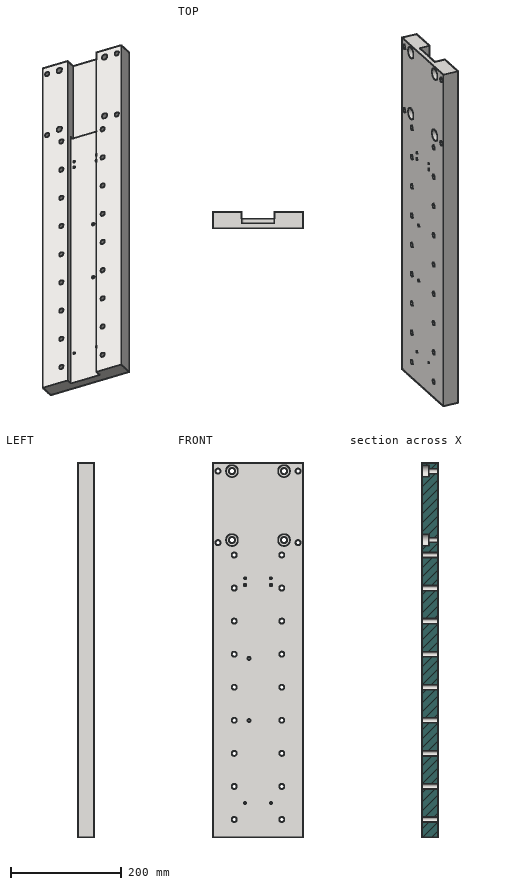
import cadquery as cq

LENGTH = 680.0
WIDTH = 164.0
THICKNESS = 30.0
FRONT_Y = -THICKNESS / 2
BACK_Y = THICKNESS / 2
TOP_Z = LENGTH / 2
BOTTOM_Z = -LENGTH / 2

CHANNEL_WIDTH = 60.0
CHANNEL_DEPTH = 12.0
POCKET_DEPTH = 20.5
POCKET_LENGTH = 160.0
POCKET_CORNER_RADIUS = 5.5

MOUNT_BORE = 11.0
MOUNT_COUNTERBORE = 22.0
MOUNT_COUNTERBORE_DEPTH = 13.0
MOUNT_SPACING_X = 94.5
MOUNT_SPACING_Z = 125.0

TOP_ROW_INSET = 15.0
EDGE_HOLE = 9.0
EDGE_HOLE_SPACING_X = 145.5
EDGE_HOLE_SPACING_Z = 130.0

COLUMN_HOLE = 9.0
COLUMN_SPACING_X = 86.5
COLUMN_SPAN = 480.0
COLUMN_COUNT = 9
COLUMN_PITCH = COLUMN_SPAN / (COLUMN_COUNT - 1)
COLUMN_BOTTOM_INSET = 32.5

PAIR_SPACING_X = 47.0
SMALL_PAIR_HOLE = 3.3
LARGE_PAIR_HOLE = 4.2
UPPER_PAIR_Z = 130.5
MIDDLE_PAIR_Z = 118.0
LOWER_PAIR_Z = -277.5
SIDE_HOLE = 5.0
SIDE_HOLE_X = -16.0
SIDE_HOLE_HEIGHTS = (-15.0, -128.0)


def cylinders_from_front(diameter, depth, points):
    """Cylinders running from the front face into the plate at (x, z) points."""
    front_plane = cq.Workplane(cq.Plane(origin=(0, FRONT_Y, 0), xDir=(1, 0, 0), normal=(0, -1, 0)))
    return front_plane.pushPoints(points).circle(diameter / 2).extrude(-depth)


def through_holes(diameter, points):
    return cylinders_from_front(diameter, THICKNESS, points)


def mirrored(spacing_x, heights):
    """Points at both sides of the centre line, at each height."""
    return [(side * spacing_x / 2, z) for z in heights for side in (-1, 1)]


def channel_block(depth, length):
    """Block cut into the back face, reaching down from the top end."""
    return (
        cq.Workplane("XY")
        .box(CHANNEL_WIDTH, depth, length)
        .translate((0, BACK_Y - depth / 2, TOP_Z - length / 2))
    )


plate = cq.Workplane("XY").box(WIDTH, THICKNESS, LENGTH)

channel = channel_block(CHANNEL_DEPTH, LENGTH)
pocket = channel_block(POCKET_DEPTH, POCKET_LENGTH)
pocket = pocket.faces("<Z").edges("|Y").fillet(POCKET_CORNER_RADIUS)
plate = plate.cut(channel).cut(pocket)

top_row_z = TOP_Z - TOP_ROW_INSET
mount_points = mirrored(MOUNT_SPACING_X, (top_row_z, top_row_z - MOUNT_SPACING_Z))
plate = plate.cut(through_holes(MOUNT_BORE, mount_points))
plate = plate.cut(cylinders_from_front(MOUNT_COUNTERBORE, MOUNT_COUNTERBORE_DEPTH, mount_points))

edge_points = mirrored(EDGE_HOLE_SPACING_X, (top_row_z, top_row_z - EDGE_HOLE_SPACING_Z))
plate = plate.cut(through_holes(EDGE_HOLE, edge_points))

column_heights = [BOTTOM_Z + COLUMN_BOTTOM_INSET + i * COLUMN_PITCH for i in range(COLUMN_COUNT)]
plate = plate.cut(through_holes(COLUMN_HOLE, mirrored(COLUMN_SPACING_X, column_heights)))

small_pairs = mirrored(PAIR_SPACING_X, (UPPER_PAIR_Z, LOWER_PAIR_Z))
plate = plate.cut(through_holes(SMALL_PAIR_HOLE, small_pairs))
plate = plate.cut(through_holes(LARGE_PAIR_HOLE, mirrored(PAIR_SPACING_X, (MIDDLE_PAIR_Z,))))
side_points = [(SIDE_HOLE_X, z) for z in SIDE_HOLE_HEIGHTS]
plate = plate.cut(through_holes(SIDE_HOLE, side_points))

result = plate